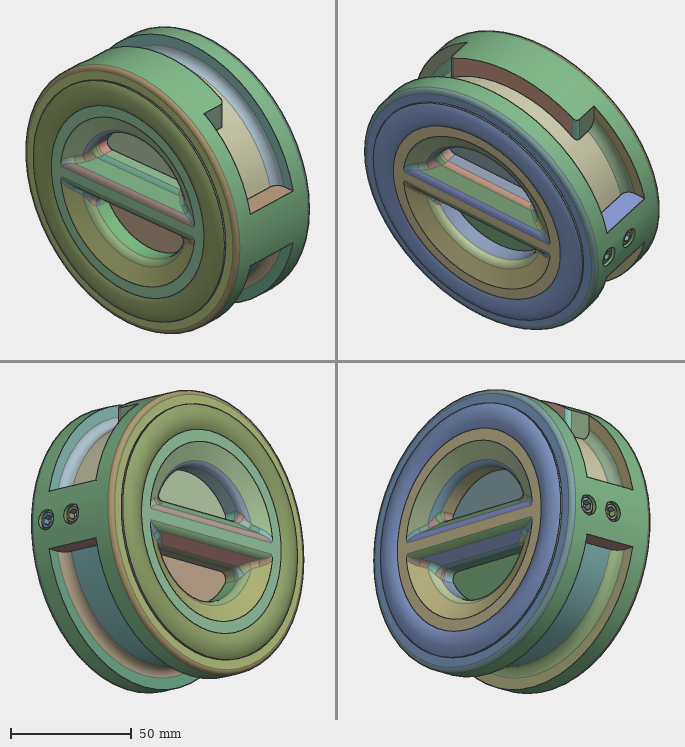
import cadquery as cq
import math

BODY_RADIUS = 60.0
OVERALL_DEPTH = 52.0
FLANGE_FACE_Y = 22.9
RIM_FILLET = 2.0

BEAD_CREST_Y = OVERALL_DEPTH / 2
BEAD_CREST_RADIUS = 48.0
BEAD_ARC_RADIUS = 9.0
BEAD_EDGE_Y = 23.8
SEAT_Y = 24.5

GROOVE_HALF_WIDTH = 13.1
GROOVE_FLOOR_RADIUS = 51.0
GROOVE_FILLET = 4.1
WEB_HALF_HEIGHT = 12.4

LUG_HALF_LENGTH = 32.6
LUG_EDGE_Y = -0.8
LUG_FILLET = 2.0

MOUTH_RADIUS = 37.9
BORE_RADIUS = 28.5
CONE_END_Y = 19.5
FLOOR_Y = 10.1
BAR_TOP_HALF = 4.3
BAR_BASE_HALF = 10.3
BAR_SLOPE_END_Y = 16.8
RECESS_ROUND = 4.0
BAR_SIDE_ROUND = 4.5
POCKET_CORNER = 3.0

SCREW_DIAMETER = 8.4
SCREW_LENGTH = 9.6
SCREW_FACE_X = -59.0
SCREW_CHAMFER = 1.0
SOCKET_FLATS = 4.0
SOCKET_DEPTH = 3.0
SOCKET_CONE_DEPTH = 1.2
SCREW_YS = (-0.5, 13.5)

CUT_MARGIN = 1.2
LEVEL_TOLERANCE = 0.1


def revolve_about_y(outline):
    """Closed outline in the XY plane, turned once around the Y axis."""
    return outline.close().revolve(360, (0, 0, 0), (0, 1, 0))


def round_corner(before, corner, after, radius):
    """Start, middle and end of the arc that rounds a corner between two straight lines."""

    def unit(target):
        dx = target[0] - corner[0]
        dy = target[1] - corner[1]
        length = math.hypot(dx, dy)
        return dx / length, dy / length

    u = unit(before)
    v = unit(after)
    half_angle = math.acos(u[0] * v[0] + u[1] * v[1]) / 2
    tangent = radius / math.tan(half_angle)
    reach = radius / math.sin(half_angle) - radius
    bisector = (u[0] + v[0], u[1] + v[1])
    bisector_length = math.hypot(*bisector)
    start = (corner[0] + tangent * u[0], corner[1] + tangent * u[1])
    middle = tuple(c + reach * b / bisector_length for c, b in zip(corner, bisector))
    end = (corner[0] + tangent * v[0], corner[1] + tangent * v[1])
    return start, middle, end


def make_blank():
    """Plain body with its rim and sealing beads: a revolved half, mirrored to both ends."""
    arc_centre_y = BEAD_CREST_Y - BEAD_ARC_RADIUS
    bead_inner = BEAD_CREST_RADIUS - math.sqrt(BEAD_ARC_RADIUS**2 - (SEAT_Y - arc_centre_y) ** 2)
    bead_outer = BEAD_CREST_RADIUS + math.sqrt(BEAD_ARC_RADIUS**2 - (BEAD_EDGE_Y - arc_centre_y) ** 2)
    rim_inner = BODY_RADIUS - RIM_FILLET
    outline = (
        cq.Workplane("XY")
        .lineTo(BODY_RADIUS, 0)
        .lineTo(BODY_RADIUS, -FLANGE_FACE_Y + RIM_FILLET)
        .radiusArc((rim_inner, -FLANGE_FACE_Y), RIM_FILLET)
        .lineTo(bead_outer, -FLANGE_FACE_Y)
        .lineTo(bead_outer, -BEAD_EDGE_Y)
        .threePointArc((BEAD_CREST_RADIUS, -BEAD_CREST_Y), (bead_inner, -SEAT_Y))
        .lineTo(0, -SEAT_Y)
    )
    half = revolve_about_y(outline)
    return half.union(half.mirror("XZ"))


def make_groove():
    """Ring of the rim groove, less the two webs and the lug."""
    outside = BODY_RADIUS + CUT_MARGIN
    wall_end = GROOVE_FLOOR_RADIUS + GROOVE_FILLET
    floor_end = GROOVE_HALF_WIDTH - GROOVE_FILLET
    ring = revolve_about_y(
        cq.Workplane("XY")
        .moveTo(outside, GROOVE_HALF_WIDTH)
        .lineTo(wall_end, GROOVE_HALF_WIDTH)
        .radiusArc((GROOVE_FLOOR_RADIUS, floor_end), -GROOVE_FILLET)
        .lineTo(GROOVE_FLOOR_RADIUS, -floor_end)
        .radiusArc((wall_end, -GROOVE_HALF_WIDTH), -GROOVE_FILLET)
        .lineTo(outside, -GROOVE_HALF_WIDTH)
    )
    webs = cq.Workplane("XY").box(2 * outside, 2 * outside, 2 * WEB_HALF_HEIGHT)
    lug = (
        cq.Workplane("XY")
        .center(0, (LUG_EDGE_Y - outside) / 2)
        .rect(2 * LUG_HALF_LENGTH, LUG_EDGE_Y + outside)
        .extrude(outside)
        .edges("|Z and >Y")
        .fillet(LUG_FILLET)
    )
    return ring.cut(webs).cut(lug)


def make_pocket():
    """The half of the front recess above the bar."""
    seat = -SEAT_Y
    floor = -FLOOR_Y
    mouth = (MOUTH_RADIUS, seat)
    start, middle, end = round_corner(
        mouth, (BORE_RADIUS, -CONE_END_Y), (BORE_RADIUS, floor), RECESS_ROUND
    )
    funnel = revolve_about_y(
        cq.Workplane("XY")
        .moveTo(0, seat)
        .lineTo(*mouth)
        .lineTo(*start)
        .threePointArc(middle, end)
        .lineTo(BORE_RADIUS, floor)
        .lineTo(0, floor)
    )
    bar_top = (seat, BAR_TOP_HALF)
    bar_shoulder = (-BAR_SLOPE_END_Y, BAR_BASE_HALF)
    lip_start, lip_middle, lip_end = round_corner((seat, 0), bar_top, bar_shoulder, RECESS_ROUND)
    side_start, side_middle, side_end = round_corner(
        bar_top, bar_shoulder, (floor, BAR_BASE_HALF), BAR_SIDE_ROUND
    )
    above_bar = (
        cq.Workplane("YZ")
        .moveTo(*lip_start)
        .threePointArc(lip_middle, lip_end)
        .lineTo(*side_start)
        .threePointArc(side_middle, side_end)
        .lineTo(floor, BAR_BASE_HALF)
        .lineTo(floor, MOUTH_RADIUS)
        .lineTo(seat, MOUTH_RADIUS)
        .close()
        .extrude(MOUTH_RADIUS, both=True)
    )
    pocket = funnel.intersect(above_bar).val()
    seams = [edge for edge in pocket.Edges() if climbs_the_side(edge)]
    return cq.Workplane(pocket.fillet(POCKET_CORNER, seams))


def climbs_the_side(edge):
    """True for an edge that rises from the floor on one side, where bar and bore meet."""
    start = edge.startPoint()
    end = edge.endPoint()
    same_side = start.x * end.x > 0
    rises = abs(start.y - end.y) > LEVEL_TOLERANCE
    return same_side and rises


def make_screw_blank(y):
    """Plain cylinder of a set screw, from its outer face inwards."""
    return (
        cq.Workplane("YZ", origin=(SCREW_FACE_X, 0, 0))
        .center(y, 0)
        .circle(SCREW_DIAMETER / 2)
        .extrude(SCREW_LENGTH)
    )


def make_screw_hole(y):
    """Blind hole that holds a set screw, open to the outside of the web."""
    outside = -BODY_RADIUS - CUT_MARGIN
    return (
        cq.Workplane("YZ", origin=(outside, 0, 0))
        .center(y, 0)
        .circle(SCREW_DIAMETER / 2)
        .extrude(SCREW_FACE_X + SCREW_LENGTH - outside)
    )


def make_socket(y):
    """Hexagon socket, points up and down, ending in a cone as wide as its corners."""
    corner_diameter = SOCKET_FLATS / math.cos(math.pi / 6)
    mouth = cq.Workplane("YZ", origin=(SCREW_FACE_X, 0, 0)).center(y, 0)
    hexagon = (
        mouth
        .transformed(rotate=(0, 0, 90))
        .polygon(6, corner_diameter)
        .extrude(SOCKET_DEPTH + SOCKET_CONE_DEPTH)
    )
    cone = cq.Solid.makeCone(
        corner_diameter / 2,
        0,
        SOCKET_CONE_DEPTH,
        pnt=cq.Vector(SCREW_FACE_X + SOCKET_DEPTH, y, 0),
        dir=cq.Vector(1, 0, 0),
    )
    pointed_rod = mouth.circle(corner_diameter / 2).extrude(SOCKET_DEPTH).union(cq.Workplane(cone))
    return hexagon.intersect(pointed_rod)


def make_set_screw(y):
    """Set screw with a chamfered outer end and a hexagon socket."""
    return make_screw_blank(y).faces("<X").chamfer(SCREW_CHAMFER).cut(make_socket(y))


def make_housing():
    """Body with its groove, the four recess pockets and the screw holes."""
    housing = make_blank().cut(make_groove())
    upper_front = make_pocket()
    for front in (upper_front, upper_front.mirror("XY")):
        for pocket in (front, front.mirror("XZ")):
            housing = housing.cut(pocket)
    for y in SCREW_YS:
        housing = housing.cut(make_screw_hole(y))
    return housing


housing = make_housing()
set_screws = [make_set_screw(y) for y in SCREW_YS]

result = cq.Compound.makeCompound([housing.val(), *[screw.val() for screw in set_screws]])